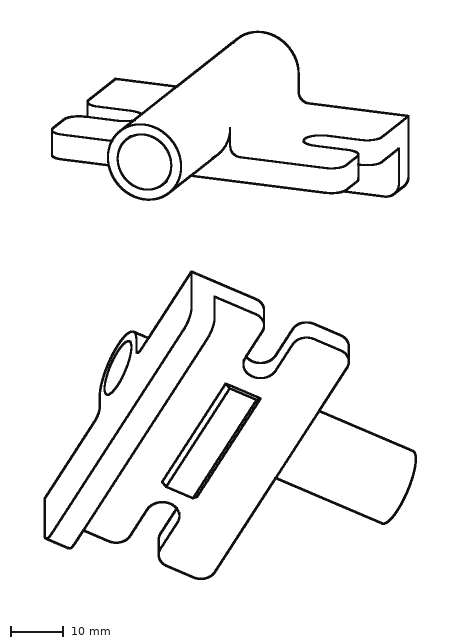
import cadquery as cq

width = 60.0
tube_length = 60.0
height = 28.1

tube_diameter = 15.0
bore_diameter = 11.0
tube_axis_z = height - tube_diameter / 2

plate_depth = 35.0
thickness = 5.0
plate_top = 15.0
plate_bottom = plate_top - thickness
corner_radius = 3.0

web_fillet = 2.0

slot_width = 6.5
slot_depth = 13.2
slot_center_y = -20.05

key_length = 26.0
key_height = 1.0
key_top_width = 7.5
key_bottom_width = 5.75


def make_plate():
    plate = cq.Workplane("XY").box(width, plate_depth, thickness, centered=(True, False, False))
    plate = plate.translate((0, -plate_depth, plate_bottom))
    plate = plate.edges("|Z and <Y").fillet(corner_radius)
    for side in (-1, 1):
        slot = (
            cq.Workplane("XY", origin=(side * width / 2, slot_center_y, plate_bottom))
            .slot2D(2 * slot_depth, slot_width)
            .extrude(thickness)
        )
        plate = plate.cut(slot)
    for side in (-1, 1):
        for edge_side in (-1, 1):
            mouth = (side * width / 2, slot_center_y + edge_side * slot_width / 2, plate_bottom + thickness / 2)
            plate = plate.edges(cq.selectors.NearestToPointSelector(mouth)).fillet(corner_radius)
    return plate


def make_lip():
    lip = cq.Workplane("XY").box(width, thickness, plate_top, centered=(True, False, False))
    return lip.translate((0, -thickness, 0)).edges("|Y and <Z").fillet(corner_radius)


def make_web():
    half_web = tube_diameter / 2
    half_foot = half_web + web_fillet
    fillet_top = plate_top + web_fillet
    return (
        cq.Workplane("XZ")
        .moveTo(-half_foot, plate_top)
        .radiusArc((-half_web, fillet_top), -web_fillet)
        .lineTo(-half_web, tube_axis_z)
        .lineTo(half_web, tube_axis_z)
        .lineTo(half_web, fillet_top)
        .radiusArc((half_foot, plate_top), -web_fillet)
        .lineTo(half_foot, plate_bottom)
        .lineTo(-half_foot, plate_bottom)
        .close()
        .extrude(plate_depth)
    )


def make_key():
    key_bottom = plate_bottom - key_height
    return (
        cq.Workplane("YZ")
        .moveTo(slot_center_y - key_top_width / 2, plate_bottom)
        .lineTo(slot_center_y - key_bottom_width / 2, key_bottom)
        .lineTo(slot_center_y + key_bottom_width / 2, key_bottom)
        .lineTo(slot_center_y + key_top_width / 2, plate_bottom)
        .close()
        .extrude(key_length / 2, both=True)
    )


def tube_cylinder(diameter):
    return cq.Workplane("XZ").center(0, tube_axis_z).circle(diameter / 2).extrude(tube_length)


result = make_plate().union(make_lip()).union(make_web()).union(make_key())
result = result.union(tube_cylinder(tube_diameter)).cut(tube_cylinder(bore_diameter))